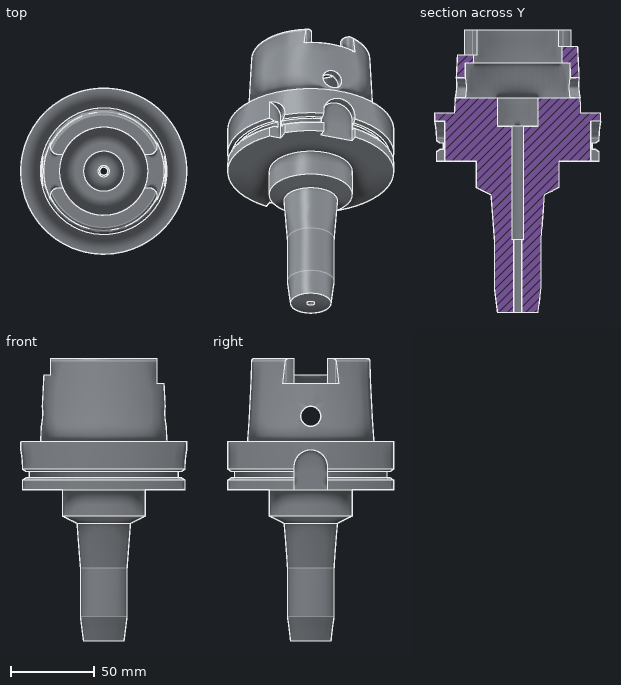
import cadquery as cq

total_height = 170.0

tip_radius = 12.2
nose_radius = 14.1
nose_cone_top_radius = 16.2
neck_radius = 25.0
tip_cone_top = 14.8
nose_cylinder_top = 44.0
nose_cone_top = 70.7
neck_bottom = 75.1

flange_radius = 50.0
flange_bottom = 91.0
flange_top = 120.0
groove_radius = 45.9
groove_bottom = 98.3
groove_top = 101.8
groove_chamfer_width = 2.2
groove_chamfer_height = 1.5

taper_base_radius = 38.0
taper_top_radius = 35.5
rim_fillet = 1.7

bore_radius = 26.5
bore_straight_depth = 20.0
undercut_radius = 31.5
bore_depth = 41.0
pocket_radius = 12.0
pocket_depth = 17.0
coolant_radius = 3.4
coolant_depth = 68.0
through_radius = 2.4

slot_width = 20.0
slot_side_x = 32.1
slot_corner_radius = 5.0
left_slot_depth = 10.0
right_slot_depth = 15.1
cross_hole_radius = 6.0
cross_hole_z = 135.2
keyway_width = 20.0
keyway_top = 115.0
keyway_floor = 44.0
side_notch_floor = 32.0
side_notch_y = 41.3


def make_body():
    groove_lip_radius = flange_radius - groove_chamfer_width
    outline = [
        (0, 0),
        (tip_radius, 0),
        (nose_radius, tip_cone_top),
        (nose_radius, nose_cylinder_top),
        (nose_cone_top_radius, nose_cone_top),
        (neck_radius, neck_bottom),
        (neck_radius, flange_bottom),
        (flange_radius, flange_bottom),
        (flange_radius, groove_bottom - groove_chamfer_height),
        (groove_lip_radius, groove_bottom),
        (groove_radius, groove_bottom),
        (groove_radius, groove_top),
        (groove_lip_radius, groove_top),
        (flange_radius, groove_top + groove_chamfer_height),
        (flange_radius, flange_top),
        (taper_base_radius, flange_top),
        (taper_top_radius, total_height),
        (0, total_height),
    ]
    body = cq.Workplane("XZ").polyline(outline).close().revolve(360, (0, 0), (0, 1))
    return body.faces(">Z").edges().fillet(rim_fillet)


def make_bores():
    bore_floor = total_height - bore_depth
    pocket_floor = bore_floor - pocket_depth
    coolant_floor = pocket_floor - coolant_depth
    outline = [
        (0, 0),
        (through_radius, 0),
        (through_radius, coolant_floor),
        (coolant_radius, coolant_floor),
        (coolant_radius, pocket_floor),
        (pocket_radius, pocket_floor),
        (pocket_radius, bore_floor),
        (undercut_radius, bore_floor),
        (undercut_radius, total_height - bore_straight_depth),
        (bore_radius, total_height - bore_straight_depth),
        (bore_radius, total_height),
        (0, total_height),
    ]
    return cq.Workplane("XZ").polyline(outline).close().revolve(360, (0, 0), (0, 1))


def make_drive_slot(side, depth):
    """Radial slot through the rim wall, flaring outward; side is +1 or -1 along X."""
    half_width = slot_width / 2
    inner_x = side * pocket_radius
    arc_start_x = side * (slot_side_x - slot_corner_radius)
    side_x = side * slot_side_x
    outer_x = side * flange_radius
    flare_y = half_width + slot_corner_radius
    arc_middle_run = slot_corner_radius * 0.5 ** 0.5
    arc_middle = (
        arc_start_x + side * arc_middle_run,
        flare_y - arc_middle_run,
    )
    return (
        cq.Workplane("XY", origin=(0, 0, total_height - depth))
        .moveTo(inner_x, half_width)
        .lineTo(arc_start_x, half_width)
        .threePointArc(arc_middle, (side_x, flare_y))
        .lineTo(side_x, flange_radius)
        .lineTo(outer_x, flange_radius)
        .lineTo(outer_x, -flange_radius)
        .lineTo(side_x, -flange_radius)
        .lineTo(side_x, -flare_y)
        .threePointArc((arc_middle[0], -arc_middle[1]), (arc_start_x, -half_width))
        .lineTo(inner_x, -half_width)
        .close()
        .extrude(depth)
    )


def make_keyway(side, floor_distance, center_y):
    """Round-topped keyway, open at the flange underside, with a flat floor facing along X."""
    radius = keyway_width / 2
    spring_z = keyway_top - radius
    return (
        cq.Workplane("YZ", origin=(side * floor_distance, 0, 0))
        .moveTo(center_y - radius, flange_bottom)
        .lineTo(center_y - radius, spring_z)
        .threePointArc((center_y, keyway_top), (center_y + radius, spring_z))
        .lineTo(center_y + radius, flange_bottom)
        .close()
        .extrude(side * flange_radius)
    )


cross_hole = (
    cq.Workplane("YZ")
    .center(0, cross_hole_z)
    .circle(cross_hole_radius)
    .extrude(flange_radius, both=True)
)

result = make_body().cut(make_bores()).cut(cross_hole)
for side, depth in ((-1, left_slot_depth), (1, right_slot_depth)):
    result = result.cut(make_drive_slot(side, depth))
    result = result.cut(make_keyway(side, keyway_floor, 0))
result = result.cut(make_keyway(-1, side_notch_floor, side_notch_y))